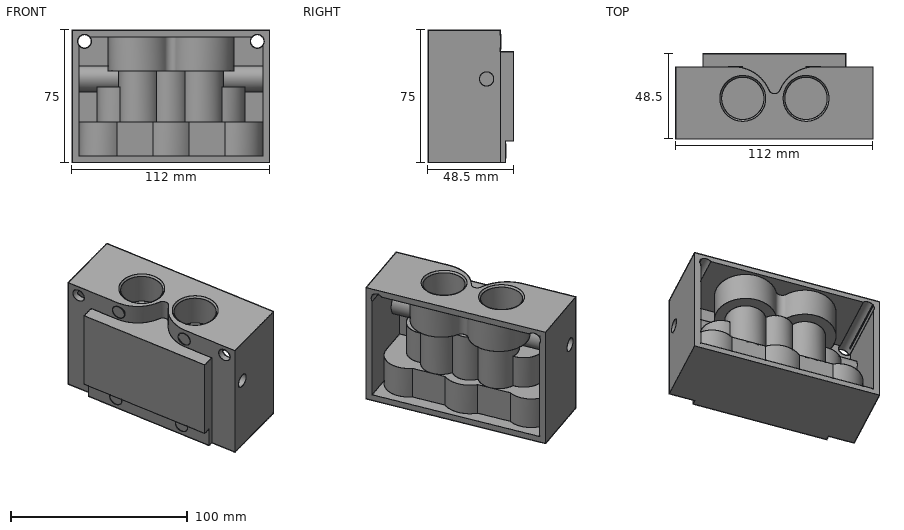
import cadquery as cq
import math

SIDES = (-1, 1)

LENGTH = 112
HEIGHT = 75
DEPTH = 48.5
WALL = 3.8
BLOCK_THICKNESS = 7.5
BODY_DEPTH = DEPTH - BLOCK_THICKNESS
CAVITY_LENGTH = LENGTH - 2 * WALL
CAVITY_DEPTH = BODY_DEPTH - WALL

BLOCK_LENGTH = 81.0
BLOCK_MARGIN = 12.2
BLOCK_TOP = HEIGHT - BLOCK_MARGIN
FOOT_THICKNESS = 2.9

COLUMN_X = 17.9
COLUMN_Y = 19.3
COLUMN_RADIUS = 11.8
CENTER_COLUMN_RADIUS = 10.3
BOSS_RADIUS = 17.7
BOSS_BLEND = 3.7
BOSS_BOTTOM = 52.0

POST_X = 30.0
POST_Y = 26.9
POST_RADIUS = 12.0
POST_TOP = 42.9

BASE_TOP = 23.1
BASE_FRONT = COLUMN_Y - COLUMN_RADIUS
CENTER_LOBE_RADIUS = 15.6
SIDE_LOBE_RADIUS = 14.0
SIDE_LOBE_X = CAVITY_LENGTH / 2 - SIDE_LOBE_RADIUS

BORE_Y = 23.1
BORE_RADIUS = 12.0
BORE_CHAMFER = 1.0
BORE_FLOOR = BOSS_BOTTOM + WALL

PORT_Y = 33.2
PORT_Z = 47.4
PORT_RADIUS = 4.0
PORT_DEPTH = LENGTH / 2 - COLUMN_X
SLEEVE_RADIUS = 7.3

SCREW_X = 49.0
SCREW_Z = HEIGHT - 6.4
SCREW_RADIUS = 3.8

NOTCH_ARC_X = 23.1
NOTCH_ARC_RADIUS = 21.7
NOTCH_ARC_Y = BODY_DEPTH - NOTCH_ARC_RADIUS
NOTCH_BLEND = 3.4

PAD_X = 22.1
PAD_RADIUS = 4.0
PAD_INSET = 6.6
PAD_HEIGHT = 0.2
PAD_ROOT = 1.1


def box(length, front, back, bottom, top):
    """Box centred on x = 0, between two depths and two heights."""
    solid = cq.Workplane("XY").box(length, back - front, top - bottom, centered=(True, False, False))
    return solid.translate((0, front, bottom))


def upright(x, y, radius, bottom, top):
    """Vertical cylinder between two heights."""
    return cq.Workplane("XY", origin=(x, y, bottom)).circle(radius).extrude(top - bottom)


def backed_upright(x, y, radius, bottom, top):
    """Vertical cylinder continued at full width to the back wall."""
    back = box(2 * radius, y, BODY_DEPTH, bottom, top).translate((x, 0, 0))
    return upright(x, y, radius, bottom, top).union(back)


def blended_pair(x, y, radius, blend, direction, bottom, top):
    """Cylinders at -x and +x, joined by a web ending in a concave blend towards -Y (-1) or +Y (1)."""
    blend_y = y + direction * math.sqrt((radius + blend) ** 2 - x**2)
    web = cq.Workplane("XY", origin=(0, 0, bottom)).polyline([(-x, y), (x, y), (0, blend_y)]).close()
    pair = web.extrude(top - bottom).cut(upright(0, blend_y, blend, bottom, top))
    for side in SIDES:
        pair = pair.union(upright(side * x, y, radius, bottom, top))
    return pair


def make_shell():
    body = box(LENGTH, 0, BODY_DEPTH, 0, HEIGHT)
    cavity = box(CAVITY_LENGTH, 0, CAVITY_DEPTH, WALL, HEIGHT - WALL)
    block = box(BLOCK_LENGTH, BODY_DEPTH, DEPTH, BLOCK_MARGIN, BLOCK_TOP)
    foot = box(BLOCK_LENGTH, BODY_DEPTH, BODY_DEPTH + FOOT_THICKNESS, 0, BLOCK_MARGIN)
    return body.cut(cavity).union(block).union(foot)


def make_base():
    base = box(2 * SIDE_LOBE_X, BASE_FRONT, BODY_DEPTH, 0, BASE_TOP)
    base = base.union(backed_upright(0, COLUMN_Y, CENTER_LOBE_RADIUS, 0, BASE_TOP))
    for side in SIDES:
        base = base.union(backed_upright(side * SIDE_LOBE_X, COLUMN_Y, SIDE_LOBE_RADIUS, 0, BASE_TOP))
    return base


def make_columns():
    columns = upright(0, COLUMN_Y, CENTER_COLUMN_RADIUS, BASE_TOP, BOSS_BOTTOM)
    for side in SIDES:
        columns = columns.union(upright(side * COLUMN_X, COLUMN_Y, COLUMN_RADIUS, BASE_TOP, BOSS_BOTTOM))
    return columns


def make_posts():
    posts = box(2 * POST_X, POST_Y - POST_RADIUS, BODY_DEPTH, BASE_TOP, POST_TOP)
    for side in SIDES:
        posts = posts.union(backed_upright(side * POST_X, POST_Y, POST_RADIUS, BASE_TOP, POST_TOP))
    return posts


def make_sleeve():
    profile = cq.Workplane("YZ").center(PORT_Y, PORT_Z).circle(SLEEVE_RADIUS)
    return profile.extrude(CAVITY_LENGTH / 2, both=True)


def make_bosses():
    bosses = blended_pair(COLUMN_X, COLUMN_Y, BOSS_RADIUS, BOSS_BLEND, -1, BOSS_BOTTOM, HEIGHT)
    return bosses.union(box(2 * COLUMN_X, COLUMN_Y, BODY_DEPTH, BOSS_BOTTOM, HEIGHT))


def make_notch():
    opening = box(2 * NOTCH_ARC_X, NOTCH_ARC_Y, BODY_DEPTH, BLOCK_TOP, HEIGHT)
    return opening.cut(
        blended_pair(NOTCH_ARC_X, NOTCH_ARC_Y, NOTCH_ARC_RADIUS, NOTCH_BLEND, 1, BLOCK_TOP, HEIGHT)
    )


def make_bore(side):
    bore = upright(side * COLUMN_X, BORE_Y, BORE_RADIUS, BORE_FLOOR, HEIGHT)
    rim = cq.Workplane("XY", origin=(side * COLUMN_X, BORE_Y, HEIGHT)).circle(BORE_RADIUS + BORE_CHAMFER)
    return bore.union(rim.workplane(offset=-BORE_CHAMFER).circle(BORE_RADIUS).loft())


def make_port(side):
    mouth = cq.Workplane("YZ", origin=(side * LENGTH / 2, PORT_Y, PORT_Z)).circle(PORT_RADIUS)
    return mouth.extrude(-side * PORT_DEPTH)


def make_screw_hole(side):
    return cq.Workplane("XZ", origin=(side * SCREW_X, 0, SCREW_Z)).circle(SCREW_RADIUS).extrude(-BODY_DEPTH)


def make_pad(side, face_y, z):
    """Pad standing on a rear face, rooted slightly below it."""
    rear = cq.Workplane("XZ", origin=(side * PAD_X, face_y + PAD_HEIGHT, z)).circle(PAD_RADIUS)
    return rear.extrude(PAD_HEIGHT + PAD_ROOT)


result = make_shell().union(make_base()).union(make_columns()).union(make_posts()).union(make_sleeve())
result = result.union(make_bosses()).cut(make_notch())
for side in SIDES:
    result = result.cut(make_bore(side)).cut(make_port(side)).cut(make_screw_hole(side))
    result = result.union(make_pad(side, BODY_DEPTH, HEIGHT - PAD_INSET))
    result = result.union(make_pad(side, BODY_DEPTH + FOOT_THICKNESS, PAD_INSET))